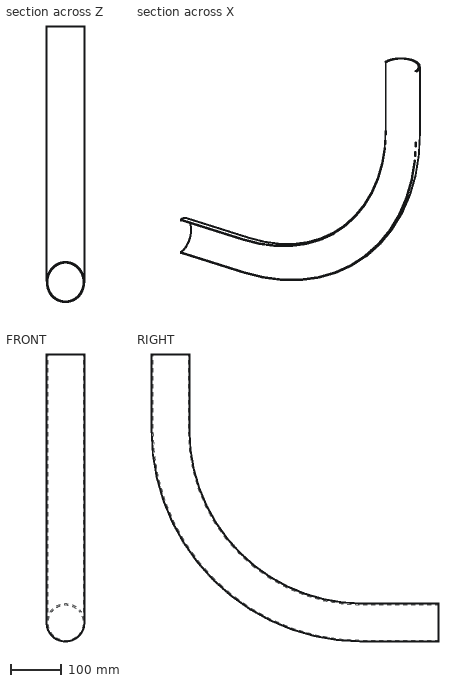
import cadquery as cq

overall_size = 571.5
outer_diameter = 76.0
inner_diameter = 70.5
straight_length = 152.0

outer_radius = outer_diameter / 2
bend_radius = overall_size - straight_length - outer_radius

bend_top = cq.Plane(origin=(0, 0, bend_radius), xDir=(1, 0, 0), normal=(0, 0, 1))
bend_foot = cq.Plane(origin=(0, bend_radius, 0), xDir=(1, 0, 0), normal=(0, 1, 0))


def tube_section(plane):
    """Ring-shaped cross-section of the tube."""
    return cq.Workplane(plane).circle(outer_radius).circle(inner_diameter / 2)


def straight_leg(start_plane):
    """Straight tube extruded along the normal of the start plane."""
    return tube_section(start_plane).extrude(straight_length)


def quarter_bend():
    """Tube revolved a quarter turn from the vertical leg to the horizontal leg."""
    return tube_section(bend_top).revolve(90, (0, bend_radius, 0), (1, bend_radius, 0))


vertical_leg = straight_leg(bend_top)
horizontal_leg = straight_leg(bend_foot)

result = vertical_leg.union(quarter_bend()).union(horizontal_leg)